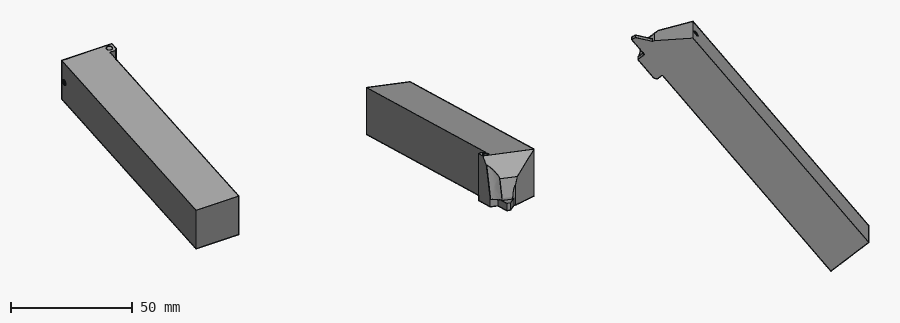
import cadquery as cq
import math

total_length = 130.0
shank_width = 20.0
shank_height = 20.0

pad_depth = 3.5
pad_end_x = 20.0
pad_chamfer = 1.0
flank_start_x = 15.25
flank_end = (6.2, -7.0)

rake_angle = math.radians(15)
nose_foot_x = 4.95
nose_foot_z = 4.0
nose_top_z = 11.85

blade_relief_middle = (5.7, -5.85)
blade_relief_end = (nose_foot_x, -5.1)

rear_relief_start = (5.1, -0.3)
rear_relief_middle = (6.95, 1.15)
rear_relief_end = (8.36, 3.25)

blade_height = 3.15
blade_tip_width = 1.8
blade_tip_angle = math.radians(8)
blade_end = (6.1, -6.3)
blade_overlap = 1.0

seat_x = 17.4
seat_diameter = 2.6
seat_depth = 0.1
socket_diameter = 1.2
socket_depth = 0.1
top_seat_y = 1.15

margin = 5.0


def rake_shift(height):
    """Backward shift of a raked face over the given height."""
    return height * math.tan(rake_angle)


def make_holder():
    """Shank and head: slanted flank, front relief and rear pad."""
    return (
        cq.Workplane("XY")
        .moveTo(total_length, 0)
        .lineTo(total_length, -shank_width)
        .lineTo(flank_start_x, -shank_width)
        .lineTo(*flank_end)
        .threePointArc(blade_relief_middle, blade_relief_end)
        .lineTo(nose_foot_x, pad_depth)
        .lineTo(pad_end_x - pad_chamfer, pad_depth)
        .lineTo(pad_end_x, pad_depth - pad_chamfer)
        .lineTo(pad_end_x, 0)
        .close()
        .extrude(shank_height)
    )


def make_rear_undercut():
    """Square corner behind the blade, below the raked concave wall."""
    length = rear_relief_end[0] + margin
    width = pad_depth + margin
    corner = cq.Workplane("XY", origin=(-margin, 0, 0))
    return corner.box(length, width, blade_height, centered=False)


def make_rear_relief():
    """Space behind the raked concave wall: a prism leaning back along the rake."""
    height = shank_height + margin - blade_height
    lean = cq.Vector(rake_shift(height), 0, height)
    start_x, start_y = rear_relief_start
    end_x = rear_relief_end[0]
    outline = (
        cq.Workplane("XY", origin=(0, 0, blade_height))
        .moveTo(start_x, start_y)
        .threePointArc(rear_relief_middle, rear_relief_end)
        .lineTo(end_x, pad_depth + margin)
        .lineTo(start_x - margin, pad_depth + margin)
        .lineTo(start_x - margin, start_y)
        .close()
    )
    return cq.Workplane(cq.Solid.extrudeLinear(outline.val(), [], lean))


def make_nose_cut():
    """Everything ahead of the raked nose and above the 45 degree slope."""
    nose_top_x = nose_foot_x + rake_shift(nose_top_z - nose_foot_z)
    slope_top_x = nose_top_x + shank_height - nose_top_z
    return (
        cq.Workplane("XZ", origin=(0, pad_depth + margin, 0))
        .moveTo(nose_foot_x, nose_foot_z)
        .lineTo(nose_top_x, nose_top_z)
        .lineTo(slope_top_x, shank_height)
        .lineTo(slope_top_x, shank_height + margin)
        .lineTo(-margin, shank_height + margin)
        .lineTo(-margin, nose_foot_z)
        .close()
        .extrude(shank_width + pad_depth + 2 * margin)
    )


def make_blade():
    """Thin cutting blade reaching ahead of the nose to X = 0."""
    blade_end_x, blade_end_y = blade_end
    outline = [
        (0, 0),
        (blade_tip_width * math.tan(blade_tip_angle), -blade_tip_width),
        blade_end,
        (blade_end_x + blade_overlap, blade_end_y),
        (blade_end_x + blade_overlap, 0),
    ]
    return cq.Workplane("XY").polyline(outline).close().extrude(blade_height)


def make_front_seat():
    """Round seat with a smaller socket in its floor, in the front face at mid height."""
    front = cq.Workplane("XZ", origin=(seat_x, -shank_width, shank_height / 2))
    seat = front.circle(seat_diameter / 2).extrude(-seat_depth)
    socket = front.circle(socket_diameter / 2).extrude(-seat_depth - socket_depth)
    return seat.union(socket)


def make_top_seat():
    """Round seat sunk into the top of the pad."""
    top = cq.Workplane("XY", origin=(seat_x, top_seat_y, shank_height))
    return top.circle(seat_diameter / 2).extrude(-seat_depth)


holder = make_holder().cut(make_nose_cut())
holder = holder.cut(make_rear_undercut()).cut(make_rear_relief())
result = holder.union(make_blade()).cut(make_front_seat()).cut(make_top_seat())